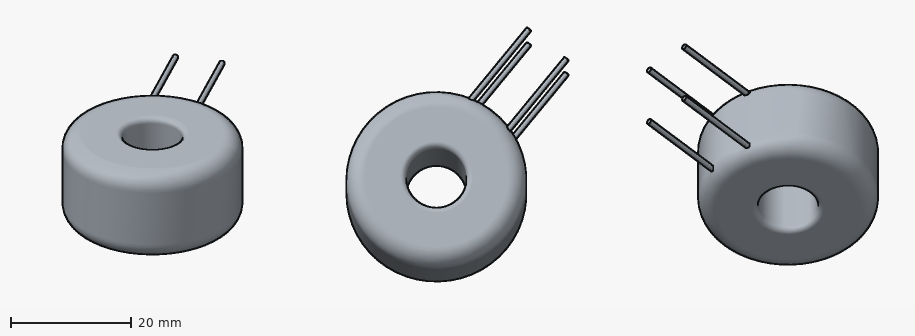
import cadquery as cq

housing_diameter = 30.0
housing_height = 16.0
bore_diameter = 10.0
outer_edge_radius = 3.0
bore_edge_radius = 1.0

lead_diameter = 1.0
lead_spacing_x = 8.0
lead_spacing_z = 12.0
lead_seat_y = 13.35
overall_length_y = 44.5
lead_tip_y = overall_length_y - housing_diameter / 2

lead_positions = [
    (side_x * lead_spacing_x / 2, side_z * lead_spacing_z / 2)
    for side_x in (-1, 1)
    for side_z in (-1, 1)
]


def make_lead(x, z):
    """Round lead from its seat in the housing to its free tip."""
    return cq.Workplane(
        cq.Solid.makeCylinder(
            lead_diameter / 2,
            lead_tip_y - lead_seat_y,
            cq.Vector(x, lead_seat_y, z),
            cq.Vector(0, 1, 0),
        )
    )


def make_housing(leads):
    """Rounded ring with a matching blind hole for every lead."""
    housing = (
        cq.Workplane("XY")
        .cylinder(housing_height, housing_diameter / 2)
        .faces("<Z or >Z")
        .edges()
        .fillet(outer_edge_radius)
    )
    bore = cq.Workplane("XY").cylinder(housing_height, bore_diameter / 2)
    housing = housing.cut(bore)
    bore_rims = cq.selectors.RadiusNthSelector(0)
    housing = housing.faces("<Z or >Z").edges(bore_rims).fillet(bore_edge_radius)
    for lead in leads:
        housing = housing.cut(lead)
    return housing


leads = [make_lead(x, z) for x, z in lead_positions]
housing = make_housing(leads)

result = cq.Compound.makeCompound([housing.solids().val(), *[lead.val() for lead in leads]])